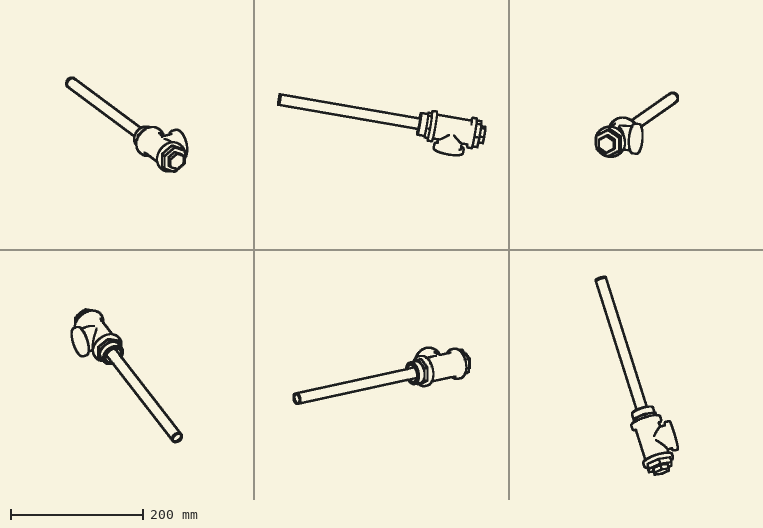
import cadquery as cq
import math

tube_start = 0.0
sleeve_start = 214.8
sleeve_nut_start = 226.2
left_collar_start = 231.8
left_collar_end = 239.0
right_collar_start = 292.5
right_collar_end = 300.0
plug_nut_end = 307.8
plug_tip = 315.0

tube_diameter = 16.5
tube_bore = 15.0
tube_recess_depth = 2.0
sleeve_diameter = 33.7
sleeve_bore = 26.0
sleeve_chamfer = 1.0

body_diameter = 37.0
collar_diameter = 46.0
branch_diameter = 36.5
branch_collar_diameter = 45.5
branch_collar_width = 8.0
branch_x = (left_collar_start + right_collar_end) / 2
branch_end = 34.0
collar_rounding = 1.0
collar_inner_rounding = 2.0
neck_fillet = 1.5

sleeve_nut_flats = 34.3
plug_nut_flats = 36.0
plug_head_flats = 22.7


def cylinder(diameter, start, end):
    """Cylinder along X between two stations."""
    return cq.Workplane("YZ", origin=(start, 0, 0)).circle(diameter / 2).extrude(end - start)


def hexagon(across_flats, start, end):
    """Hexagonal prism along X with corners pointing up and down."""
    corner_diameter = across_flats / math.cos(math.pi / 6)
    profile = cq.Workplane("YZ", origin=(start, 0, 0)).transformed(rotate=(0, 0, 90))
    return profile.polygon(6, corner_diameter).extrude(end - start)


def neck_collar(neck_diameter, diameter, width):
    """Rounded collar along +X from the origin, with a concave neck fillet on its far face."""
    neck_radius = neck_diameter / 2
    radius = diameter / 2
    bend = neck_fillet * (1 - math.sqrt(0.5))
    return (
        cq.Workplane("XY")
        .lineTo(0, radius - collar_rounding)
        .radiusArc((collar_rounding, radius), collar_rounding)
        .lineTo(width - collar_inner_rounding, radius)
        .radiusArc((width, radius - collar_inner_rounding), collar_inner_rounding)
        .lineTo(width, neck_radius + neck_fillet)
        .threePointArc((width + bend, neck_radius + bend), (width + neck_fillet, neck_radius))
        .lineTo(width + neck_fillet, 0)
        .close()
        .revolve(360, (0, 0, 0), (1, 0, 0))
    )


barrel = cylinder(body_diameter, left_collar_start, right_collar_end)
branch = cylinder(branch_diameter, 0, branch_end).rotate((0, 0, 0), (0, 0, 1), 90)
branch = branch.translate((branch_x, 0, 0))
left_collar = neck_collar(body_diameter, collar_diameter, left_collar_end - left_collar_start)
left_collar = left_collar.translate((left_collar_start, 0, 0))
right_collar = neck_collar(body_diameter, collar_diameter, right_collar_end - right_collar_start)
right_collar = right_collar.rotate((0, 0, 0), (0, 0, 1), 180).translate((right_collar_end, 0, 0))
branch_collar = neck_collar(branch_diameter, branch_collar_diameter, branch_collar_width)
branch_collar = branch_collar.rotate((0, 0, 0), (0, 0, 1), -90).translate((branch_x, branch_end, 0))
tee = barrel.union(branch).union(left_collar).union(right_collar).union(branch_collar)

sleeve = cylinder(sleeve_diameter, sleeve_start, left_collar_start)
sleeve = sleeve.faces("<X").edges().chamfer(sleeve_chamfer)
sleeve = sleeve.union(hexagon(sleeve_nut_flats, sleeve_nut_start, left_collar_start))
sleeve = sleeve.cut(cylinder(sleeve_bore, sleeve_start, left_collar_start))

plug = hexagon(plug_nut_flats, right_collar_end, plug_nut_end)
plug = plug.union(hexagon(plug_head_flats, plug_nut_end, plug_tip))

tube = cylinder(tube_diameter, tube_start, left_collar_end)
tube_recess = cylinder(tube_bore, tube_start, tube_start + tube_recess_depth)

result = tee.union(sleeve).union(plug).union(tube).cut(tube_recess)